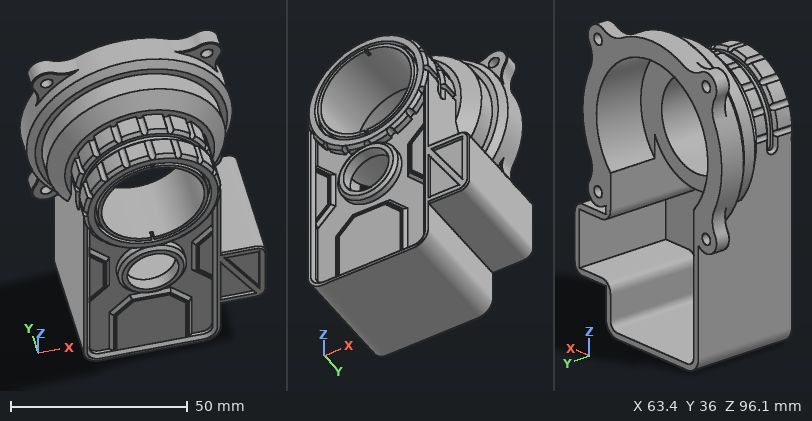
import cadquery as cq
import math


total_height = 96.1
total_width = 63.4
total_depth = 36.0

wall = 2.0
step = wall / 2
cut_margin = 1.0

flange_radius = 60.1 / 2
flange_depth = 10.2
flange_chamfer = wall
drum_radius = 26.0
drum_depth = 20.2
drum_chamfer = 4.2
chamber_radius = drum_radius - wall
chamber_depth = 16.6

ear_offset = 23.4
ear_radius = 4.4
ear_hole_diameter = 3.5
ear_thickness = 5.0
ear_chamfer = 0.3
ear_blend_radius = 8.0
ear_overlap = 0.05

neck_radius = 20.0
bore_radius = 30.0 / 2
face_groove_outer_radius = 34.0 / 2
face_groove_inner_radius = 16.05
face_groove_depth = wall
tick_width = 0.8
belt_center = 27.7
belt_width = wall
belt_depth = wall
belt_end_drop = 3.8
notch_count = 16
notch_radius = step

box_half_width = neck_radius
box_depth = total_depth - step
box_bottom = flange_radius - total_height
box_corner_radius = 5.0
floor_depth = box_depth - wall
panel_depth = box_depth - step
cavity_depth = 32.4

boss_drop = 30.0
boss_radius = 20.0 / 2
boss_bore_radius = 15.0 / 2

panel_half_width = 12.0
panel_corner = panel_half_width / 2
lower_panel_top = -42.1
panel_groove_inset = 1.4
panel_groove_width = 0.5
panel_groove_depth = 0.5

tab_right = total_width - flange_radius
tab_top = -29.2
tab_bottom = -51.2
tab_corner_radius = 3.2
tab_chamfer = 0.5
tab_pocket_depth = step
tab_rib_width = 1.8
opening_radius = 3.8


def front_plane(depth):
    """Sketch plane at a depth from the back: local x is X, local y is Z, extruding towards -Y."""
    return cq.Workplane("XZ", origin=(0, -depth, 0))


def revolve_about_bore(profile):
    """Turn a list of (radius, depth) points about the bore axis."""
    points = [(radius, -depth) for radius, depth in profile]
    return cq.Workplane("XY").polyline(points).close().revolve(360, (0, 0, 0), (0, 1, 0))


def cylinder(radius, start, end, z=0.0):
    return front_plane(start).center(0, z).circle(radius).extrude(end - start)


def block(left, right, bottom, top, start, end):
    sketch = front_plane(start).center((left + right) / 2, (bottom + top) / 2)
    return sketch.rect(right - left, top - bottom).extrude(end - start)


def make_drum():
    return revolve_about_bore([
        (0, 0),
        (flange_radius, 0),
        (flange_radius, flange_depth - flange_chamfer),
        (flange_radius - flange_chamfer, flange_depth),
        (drum_radius, flange_depth),
        (drum_radius, drum_depth - drum_chamfer),
        (drum_radius - drum_chamfer, drum_depth),
        (0, drum_depth),
    ])


def make_plate():
    """Back plate with four diagonal ears; straight edges join them inside the flange."""
    blend_circle = flange_radius - ear_overlap
    ear_distance = ear_offset * math.sqrt(2)
    flange_side = blend_circle + ear_blend_radius
    ear_side = ear_radius + ear_blend_radius
    along = (flange_side**2 - ear_side**2 + ear_distance**2) / (2 * ear_distance)
    across = math.sqrt(flange_side**2 - along**2)
    to_ear = math.atan2(-across, ear_distance - along)
    to_flange = math.atan2(-across, -along)

    def on_blend(angle):
        return along + ear_blend_radius * math.cos(angle), across + ear_blend_radius * math.sin(angle)

    flange_end = on_blend(to_flange)
    blend_middle = on_blend((to_flange + to_ear) / 2)
    ear_end = on_blend(to_ear)

    def mirrored(point):
        return point[0], -point[1]

    def turned(point, angle):
        cosine, sine = math.cos(angle), math.sin(angle)
        return point[0] * cosine - point[1] * sine, point[0] * sine + point[1] * cosine

    quarter = math.pi / 2
    outline = front_plane(0).moveTo(*mirrored(flange_end))
    for index in range(4):
        angle = index * quarter
        outline = outline.threePointArc(
            turned(mirrored(blend_middle), angle), turned(mirrored(ear_end), angle)
        )
        outline = outline.threePointArc(
            turned((ear_distance + ear_radius, 0), angle), turned(ear_end, angle)
        )
        outline = outline.threePointArc(turned(blend_middle, angle), turned(flange_end, angle))
        outline = outline.lineTo(*turned(mirrored(flange_end), angle + quarter))
    plate = outline.close().extrude(ear_thickness).faces("<Y").chamfer(ear_chamfer)
    return plate.rotate((0, 0, 0), (0, 1, 0), 45)


def make_ear_holes():
    square = front_plane(0).rect(2 * ear_offset, 2 * ear_offset, forConstruction=True)
    return square.vertices().circle(ear_hole_diameter / 2).extrude(ear_thickness)


def make_neck():
    """Ribbed neck with a belt groove, chamfered edges and lengthwise notches."""
    start = chamber_depth
    belt_start = belt_center - belt_width / 2
    belt_end = belt_center + belt_width / 2
    neck = revolve_about_bore([
        (0, start),
        (neck_radius, start),
        (neck_radius, belt_start - step),
        (neck_radius - step, belt_start),
        (neck_radius - belt_depth, belt_start),
        (neck_radius - belt_depth, belt_end),
        (neck_radius - step, belt_end),
        (neck_radius, belt_end + step),
        (neck_radius, total_depth - step),
        (neck_radius - step, total_depth),
        (0, total_depth),
    ])
    for index in range(notch_count):
        neck = neck.cut(make_notch(360 * index / notch_count))
    return neck


def make_notch(angle):
    notch = front_plane(drum_depth).center(neck_radius, 0).circle(notch_radius)
    return notch.extrude(total_depth - drum_depth).rotate((0, 0, 0), (0, 1, 0), angle)


def make_belt_end(side):
    """Rounded chamfered slot that carries the belt groove down one side of the box."""
    height = 2 * belt_end_drop
    plane = cq.Plane(origin=(side * box_half_width, -belt_center, 0), xDir=(0, 1, 0), normal=(-side, 0, 0))
    slot = cq.Workplane(plane).slot2D(height + belt_width, belt_width, 90).extrude(belt_depth)
    flare_width = belt_width + 2 * step
    flare = cq.Workplane(plane).slot2D(height + flare_width, flare_width, 90).extrude(step, taper=45)
    lower_half = block(-total_width, total_width, box_bottom, 0, 0, total_depth)
    return slot.union(flare).intersect(lower_half)


def make_box():
    """Box with rounded bottom corners and a front face sunk inside a sloped rim."""
    box = block(-box_half_width, box_half_width, box_bottom, 0, 0, box_depth)
    box = box.edges("|Y and <Z").fillet(box_corner_radius)
    box = box.cut(rounded_recess(wall, wall))
    return box.cut(rounded_recess(step, step, taper=45))


def rounded_recess(inset, depth, taper=0):
    """Recess set in from the box outline by a margin; its far end lies above the box."""
    half_width = box_half_width - inset
    bottom = box_bottom + inset
    plane = cq.Plane(origin=(0, -box_depth, 0), xDir=(-1, 0, 0), normal=(0, 1, 0))
    outline = cq.Sketch().rect(2 * half_width, -2 * bottom).vertices().fillet(box_corner_radius - inset)
    return cq.Workplane(plane).placeSketch(outline).extrude(depth, taper=taper)


def make_panel(outline):
    """Raised panel with sloped sides and a narrow groove near its edge."""
    panel = front_plane(floor_depth).polyline(outline).close().extrude(step, taper=45)
    groove_start = panel_depth - panel_groove_depth

    def inset_prism(inset):
        sketch = front_plane(groove_start).polyline(outline).close()
        return sketch.offset2D(-inset, "intersection").extrude(panel_groove_depth)

    groove = inset_prism(panel_groove_inset).cut(inset_prism(panel_groove_inset + panel_groove_width))
    inner_half_width = box_half_width - wall
    inside_rim = block(
        -inner_half_width, inner_half_width, box_bottom + wall, 0, floor_depth, panel_depth
    )
    return panel.cut(groove).intersect(inside_rim)


def side_panel_outline(side):
    """Hexagon centred on a side wall; only its inner half lies on the box."""
    center_x = side * box_half_width
    reach = box_half_width - panel_half_width
    return [
        (center_x - reach, -boss_drop + panel_corner),
        (center_x, -boss_drop + panel_corner + reach),
        (center_x + reach, -boss_drop + panel_corner),
        (center_x + reach, -boss_drop - panel_corner),
        (center_x, -boss_drop - panel_corner - reach),
        (center_x - reach, -boss_drop - panel_corner),
    ]


def lower_panel_outline():
    """Panel with two cut corners that runs down past the bottom rim."""
    shoulder = lower_panel_top - panel_corner
    bottom = box_bottom - wall
    return [
        (-panel_half_width, bottom),
        (-panel_half_width, shoulder),
        (panel_corner - panel_half_width, lower_panel_top),
        (panel_half_width - panel_corner, lower_panel_top),
        (panel_half_width, shoulder),
        (panel_half_width, bottom),
    ]


def make_boss():
    boss = cylinder(boss_radius, cavity_depth, total_depth, -boss_drop)
    return boss.faces("<Y").chamfer(step)


def make_tab():
    """Side tab with a framed front that a diagonal rib splits into two pockets."""
    tab = block(box_half_width - step, tab_right, tab_bottom, tab_top, 0, box_depth)
    tab = tab.edges("|Y and >X").fillet(tab_corner_radius)
    tab = tab.faces("<Y").chamfer(tab_chamfer)
    left, right = box_half_width, tab_right - wall
    bottom, top = tab_bottom + wall, tab_top - wall
    pocket_floor = box_depth - tab_pocket_depth
    pocket = block(left, right, bottom, top, pocket_floor, box_depth)
    diagonal = math.hypot(right - left, top - bottom)
    slope = math.degrees(math.atan2(bottom - top, right - left))
    rib = (
        front_plane(pocket_floor)
        .center((left + right) / 2, (bottom + top) / 2)
        .transformed(rotate=(0, 0, slope))
        .rect(2 * diagonal, tab_rib_width)
        .extrude(tab_pocket_depth)
    )
    return tab.cut(pocket.cut(rib))


def make_cavity():
    """Hollow of the box and tab, open at the back, leaving the neck tube standing."""
    inner_half_width = box_half_width - wall
    cavity = block(-inner_half_width, inner_half_width, box_bottom + wall, 0, 0, cavity_depth)
    cavity = cavity.edges("|Y and <Z").fillet(box_corner_radius - wall)
    tab_hollow = block(0, tab_right - wall, tab_bottom + wall, tab_top - wall, 0, cavity_depth)
    cavity = cavity.union(tab_hollow)
    opening = cq.selectors.BoxSelector(
        (inner_half_width - step, -total_depth, tab_bottom),
        (inner_half_width + step, 0, tab_top),
    )
    cavity = cavity.edges("|Y").edges(opening).fillet(opening_radius)
    cavity = cavity.cut(cylinder(neck_radius, chamber_depth, cavity_depth))
    return cavity.union(cylinder(chamber_radius, 0, chamber_depth))


def make_face_groove():
    """Ring groove in the neck front, with a tick cut inwards at its top and bottom."""
    start = total_depth - face_groove_depth
    groove = cylinder(face_groove_outer_radius, start, total_depth)
    groove = groove.cut(cylinder(face_groove_inner_radius, start, total_depth))
    reach = face_groove_inner_radius + step / 2
    ticks = block(-tick_width / 2, tick_width / 2, -reach, reach, start, total_depth)
    return groove.union(ticks)


housing = make_drum().union(make_plate()).union(make_box())
for outline in (side_panel_outline(-1), side_panel_outline(1), lower_panel_outline()):
    housing = housing.union(make_panel(outline))
housing = housing.union(make_neck()).union(make_boss()).union(make_tab())

for side in (-1, 1):
    housing = housing.cut(make_belt_end(side))
    housing = housing.cut(make_notch(90 - 90 * side))

housing = housing.cut(make_ear_holes()).cut(make_cavity())
housing = housing.cut(cylinder(bore_radius, 0, total_depth))
housing = housing.cut(cylinder(boss_bore_radius, cavity_depth - cut_margin, total_depth, -boss_drop))
result = housing.cut(make_face_groove())